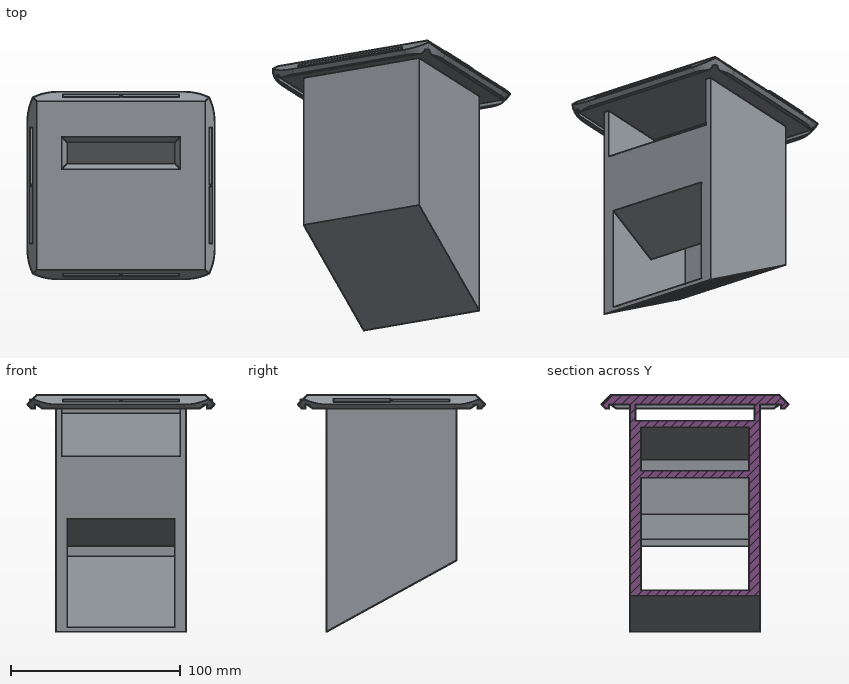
import cadquery as cq
import math

plate_width = 110.6
bevel = 5.6
lip_bottom = 8.0
plate_thickness = 5.7
lip_width = 4.7
corner_radius = 25.1
corner_rise = 3.4

ridge_leg = 1.7
ridge_inset = 1.5
groove_leg = 2.0
ridge_chamfer = 0.4
ridge_start = 0.3
ridge_end = 34.4

body_width = 76.8
part_height = 139.7
slant_rise = 42.2

slot_length = 63.4
slot_width = 12.5
slot_center_y = 19.1
slot_chamfer = 3.4

recess_length = 70.1
recess_floor_front = 36.0
recess_floor_back = 10.8

wall = 3.5
baffle_depth = 4.2
ramp_top = 25.1
ramp_slope = 0.77
baffle_tip_y = 0.0
outlet_top = 73.0
baffle_tip_depth = 89.3
outlet_bottom = 136.9
chute_floor_back = 95.1

half_plate = plate_width / 2
half_body = body_width / 2
slot_front_y = slot_center_y - slot_width / 2
slot_back_y = slot_center_y + slot_width / 2
slant_slope = slant_rise / body_width
recess_back_y = -half_body + (recess_floor_front - recess_floor_back) / slant_slope


def side_prism(points, length):
    """Extrude a (y, z) outline symmetrically along X."""
    return cq.Workplane("YZ").polyline(points).close().extrude(length / 2, both=True)


def lip_cutter():
    """Waste beyond the curved edge of the -Y bevel, square to the bevel face."""
    slope_rise = corner_rise * math.sqrt(2)
    run_end = half_plate - corner_rise
    sweep = math.acos(1 - slope_rise / corner_radius)
    arc_start = run_end - corner_radius * math.sin(sweep)
    mid_x = arc_start + corner_radius * math.sin(sweep / 2)
    mid_v = corner_radius * (1 - math.cos(sweep / 2))
    reach = 8.4
    face = cq.Plane(origin=(0, -half_plate, -bevel), xDir=(1, 0, 0), normal=(0, -1, 1))
    return (
        cq.Workplane(face)
        .moveTo(-arc_start, 0)
        .lineTo(arc_start, 0)
        .threePointArc((mid_x, mid_v), (run_end, slope_rise))
        .lineTo(run_end + reach, slope_rise)
        .lineTo(run_end + reach, -reach)
        .lineTo(-run_end - reach, -reach)
        .lineTo(-run_end - reach, slope_rise)
        .lineTo(-run_end, slope_rise)
        .threePointArc((-mid_x, mid_v), (-arc_start, 0))
        .close()
        .extrude(reach, both=True)
    )


def on_side(shape, quarter_turns):
    """Turn a shape made for the -Y side to another side of the plate."""
    return shape.rotate((0, 0, 0), (0, 0, 1), 90 * quarter_turns)


def make_plate():
    plate = (
        cq.Workplane("XY")
        .rect(plate_width, plate_width)
        .extrude(-lip_bottom)
        .faces(">Z")
        .edges()
        .chamfer(bevel)
    )
    inner = plate_width - 2 * lip_width
    hollow = cq.Workplane("XY").workplane(offset=-lip_bottom).rect(inner, inner)
    plate = plate.cut(hollow.extrude(lip_bottom - plate_thickness))
    for turn in range(4):
        plate = plate.cut(on_side(lip_cutter(), turn))
    return plate


def rail(leg, outward, direction):
    """Half-length right-angled rail on the -Y bevel: ridge outward, groove inward."""
    upper_z = -(bevel - ridge_inset - ridge_leg)
    lower_y = -half_plate + ridge_inset
    mid_y = lower_y + ridge_leg / 2
    mid_z = upper_z - ridge_leg / 2
    upper = (mid_y + leg / 2, mid_z + leg / 2)
    lower = (mid_y - leg / 2, mid_z - leg / 2)
    corner = (lower[0], upper[1]) if outward else (upper[0], lower[1])
    prism = side_prism([upper, lower, corner], ridge_end - ridge_start)
    free_edges = "not <(0, -1, 1)" if outward else "not >(0, -1, 1)"
    prism = prism.edges(free_edges).chamfer(ridge_chamfer)
    return prism.translate((direction * (ridge_start + ridge_end) / 2, 0, 0))


def add_rails(plate):
    for turn, direction, is_ridge in (
        (0, -1, True),
        (0, 1, True),
        (1, -1, False),
        (1, 1, True),
        (2, -1, False),
        (2, 1, False),
        (3, -1, True),
        (3, 1, False),
    ):
        leg = ridge_leg if is_ridge else groove_leg
        shape = on_side(rail(leg, is_ridge, direction), turn)
        plate = plate.union(shape) if is_ridge else plate.cut(shape)
    return plate


def make_body():
    top = -plate_thickness / 2
    return side_prism(
        [
            (-half_body, top),
            (-half_body, -part_height),
            (half_body, -part_height + slant_rise),
            (half_body, top),
        ],
        body_width,
    )


def make_slot_mouth():
    return (
        cq.Workplane("XY")
        .center(0, slot_center_y)
        .rect(slot_length + 2 * slot_chamfer, slot_width + 2 * slot_chamfer)
        .workplane(offset=-slot_chamfer)
        .rect(slot_length, slot_width)
        .loft()
    )


def make_passage():
    """Slot shaft, ramp falling forward, baffle falling backward, chute floor falling forward."""
    inner_front = -half_body + wall
    inner_back = half_body - wall
    baffle_slope = (baffle_tip_depth - outlet_top) / (baffle_tip_y + half_body)

    def recess_underside(y):
        return -recess_floor_front - baffle_depth + slant_slope * (y + half_body)

    def ramp(y):
        return -ramp_top - ramp_slope * (slot_back_y - y)

    def baffle_underside(y):
        return -outlet_top - baffle_slope * (y + half_body)

    return side_prism(
        [
            (slot_front_y, 0),
            (slot_front_y, recess_underside(slot_front_y)),
            (inner_front, recess_underside(inner_front)),
            (inner_front, baffle_underside(inner_front) + baffle_depth),
            (baffle_tip_y, baffle_underside(baffle_tip_y) + baffle_depth),
            (baffle_tip_y, baffle_underside(baffle_tip_y)),
            (-half_body, -outlet_top),
            (-half_body, -outlet_bottom),
            (inner_back, -chute_floor_back),
            (inner_back, ramp(inner_back) - baffle_depth),
            (baffle_tip_y, ramp(baffle_tip_y) - baffle_depth),
            (baffle_tip_y, ramp(baffle_tip_y)),
            (slot_back_y, ramp(slot_back_y)),
            (slot_back_y, 0),
        ],
        slot_length,
    )


def make_recess():
    return side_prism(
        [
            (-half_body, -plate_thickness),
            (-half_body, -recess_floor_front),
            (recess_back_y, -recess_floor_back),
            (recess_back_y, -plate_thickness),
        ],
        recess_length,
    )


cover = add_rails(make_plate())
result = cover.union(make_body()).cut(make_slot_mouth()).cut(make_passage()).cut(make_recess())